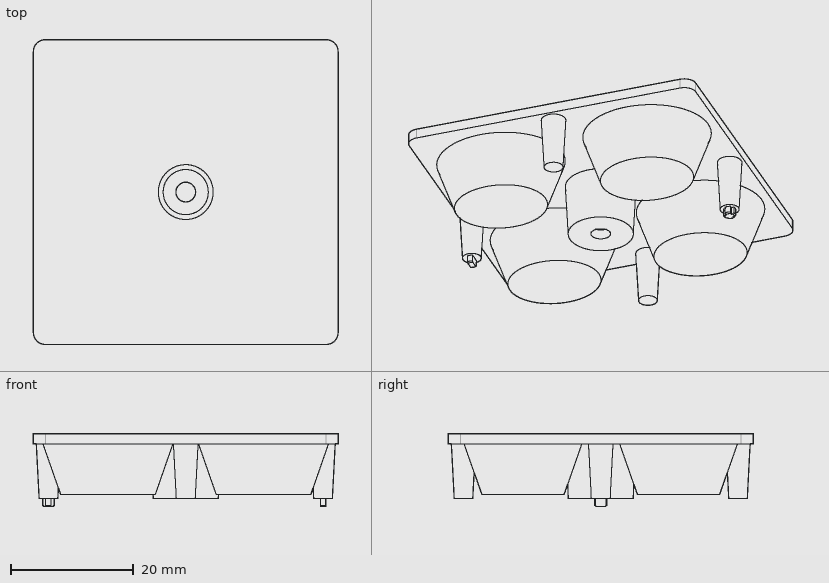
import cadquery as cq
import math

plate_side = 49.8
plate_thickness = 1.7
plate_corner_radius = 2.0
overall_height = 11.9

cup_spacing = 25.4
cup_depth = 9.95
cup_top_radius_x = 10.6
cup_top_radius_y = 9.6
cup_inset = 2.9

post_offset = 22.4
post_depth = 10.6
post_bottom_radius = 1.55
boss_bottom_radius = 5.35
draft_angle = 3.0

peg_radius = 1.0
peg_bar_width = 0.9
peg_chamfer = 0.2

recess_top_radius = 4.5
recess_bottom_radius = 3.7
screw_hole_radius = 1.6
recess_floor_thickness = plate_thickness

peg_length = overall_height - post_depth
stem_height = post_depth - plate_thickness
stem_flare = stem_height * math.tan(math.radians(draft_angle))


def cone(top_radius, bottom_radius, top_z, bottom_z):
    """Vertical truncated cone on the Z axis."""
    return (
        cq.Workplane("XY", origin=(0, 0, bottom_z))
        .circle(bottom_radius)
        .workplane(offset=top_z - bottom_z)
        .circle(top_radius)
        .loft(combine=True)
    )


def drafted_stem(bottom_radius):
    """Post or boss that widens upwards to the underside of the plate."""
    return cone(bottom_radius + stem_flare, bottom_radius, -plate_thickness, -post_depth)


def elliptical_cup():
    """Solid elliptical cup whose wall narrows evenly downwards."""
    return (
        cq.Workplane("XY", origin=(0, 0, -cup_depth))
        .ellipse(cup_top_radius_x - cup_inset, cup_top_radius_y - cup_inset, rotation_angle=180)
        .workplane(offset=cup_depth - plate_thickness)
        .ellipse(cup_top_radius_x, cup_top_radius_y, rotation_angle=180)
        .loft(combine=True)
    )


def peg_bar(x, turn):
    """Bar of a peg, turned from the X direction; its rounded ends are chamfered at the bottom."""
    base = cq.Workplane("XY", origin=(0, 0, -overall_height))
    bar = base.rect(2 * peg_radius, peg_bar_width).extrude(peg_length)
    round_pin = base.circle(peg_radius).extrude(peg_length).faces("<Z").chamfer(peg_chamfer)
    return bar.intersect(round_pin).rotate((0, 0, 0), (0, 0, 1), turn).translate((x, 0, 0))


def screw_hole():
    """Tapered recess from the top face, with a plain hole through its floor."""
    recess_depth = post_depth - recess_floor_thickness
    recess = cone(recess_top_radius, recess_bottom_radius, 0, -recess_depth)
    through_hole = cq.Workplane("XY").circle(screw_hole_radius).extrude(-post_depth)
    return recess.union(through_hole)


result = (
    cq.Workplane("XY")
    .rect(plate_side, plate_side)
    .extrude(-plate_thickness)
    .edges("|Z")
    .fillet(plate_corner_radius)
)

for x_side in (-1, 1):
    for y_side in (-1, 1):
        cup_center = (x_side * cup_spacing / 2, y_side * cup_spacing / 2, 0)
        result = result.union(elliptical_cup().translate(cup_center))

result = result.union(drafted_stem(boss_bottom_radius))
for x_side, y_side in ((-1, 0), (1, 0), (0, -1), (0, 1)):
    post_center = (x_side * post_offset, y_side * post_offset, 0)
    result = result.union(drafted_stem(post_bottom_radius).translate(post_center))

result = result.union(peg_bar(-post_offset, 0))
result = result.union(peg_bar(-post_offset, 90))
result = result.union(peg_bar(post_offset, 90))

result = result.cut(screw_hole())